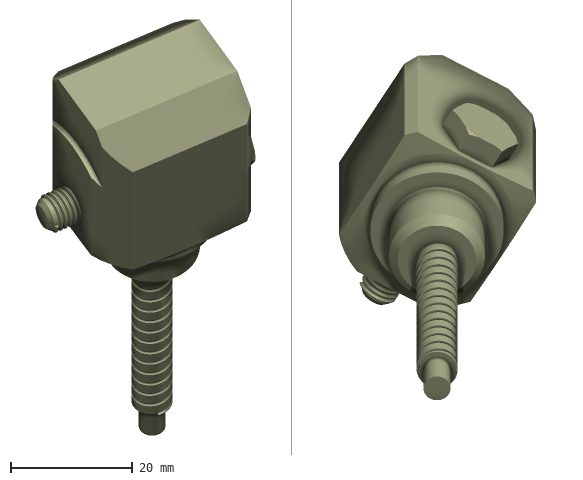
import cadquery as cq
import math


block_height = 31.5
block_width = 25.1
block_half_width = block_width / 2
back_y = block_half_width
back_chamfer = 1.6
front_y = -15.1
front_round_radius = 16.5
top_half_width = 6.35
underside_flat_radius = 12.5
underside_rise_per_radius = 0.13

recess_y = -14.1
recess_arc_radius = 14.85

flange_diameter = 22.0
flange_height = 3.6
neck_diameter = 15.8
neck_height = 10.1
neck_top_flare = 0.4
neck_bottom_chamfer = 1.4

hose_diameter = 6.8
hose_length = 37.9
groove_turns = 13
groove_turns_length = 34.4
hose_groove_pitch = groove_turns_length / groove_turns
hose_groove_width = 0.7
hose_groove_depth = 0.45
first_groove_z = -14.85
cable_diameter = 4.5

total_height = 89.5
total_depth = 37.1

bolt_z = 6.9
bolt_hole_diameter = 6.8
head_height = 3.8
head_across_flats = 11.0
head_chamfer_diameter = 11.45
head_chamfer_angle = 30
shank_diameter = 5.7
tip_diameter = 4.3
tip_length = 0.8
thread_pitch = 0.9
thread_height = 0.45
thread_base_width = 0.8
thread_crest_width = 0.2
thread_root_overlap = 0.1
thread_run_out = 0.4
thread_length = 7.2

neck_bottom_z = -flange_height - neck_height
hose_bottom_z = neck_bottom_z - hose_length
cable_bottom_z = block_height - total_height


def helical_strip(section_points, pitch, start_z, length):
    """Sweep a section, given as (radius, height) points, along a helix about Z."""
    radius = section_points[0][0]
    path = cq.Workplane(obj=cq.Wire.makeHelix(pitch, length, radius)).translate((0, 0, start_z))
    section = cq.Workplane("XZ").polyline([(r, z + start_z) for r, z in section_points]).close()
    return section.sweep(path, isFrenet=True)


def make_block():
    """Prism with chamfered back corners and rounded front corners, bevelled at the top."""
    side_front_y = -math.sqrt(front_round_radius**2 - block_half_width**2)
    flat_half_width = math.sqrt(front_round_radius**2 - front_y**2)
    mid_angle = (math.atan2(front_y, flat_half_width) + math.atan2(side_front_y, block_half_width)) / 2
    mid_x = front_round_radius * math.cos(mid_angle)
    mid_y = front_round_radius * math.sin(mid_angle)
    plan = (
        cq.Workplane("XY")
        .moveTo(flat_half_width, front_y)
        .threePointArc((mid_x, mid_y), (block_half_width, side_front_y))
        .lineTo(block_half_width, back_y - back_chamfer)
        .lineTo(block_half_width - back_chamfer, back_y)
        .lineTo(-block_half_width + back_chamfer, back_y)
        .lineTo(-block_half_width, back_y - back_chamfer)
        .lineTo(-block_half_width, side_front_y)
        .threePointArc((-mid_x, mid_y), (-flat_half_width, front_y))
        .close()
        .extrude(block_height)
    )
    bevel = block_half_width - top_half_width
    end_profile = (
        cq.Workplane("XZ", origin=(0, back_y, 0))
        .moveTo(-block_half_width, 0)
        .lineTo(block_half_width, 0)
        .lineTo(block_half_width, block_height - bevel)
        .lineTo(top_half_width, block_height)
        .lineTo(-top_half_width, block_height)
        .lineTo(-block_half_width, block_height - bevel)
        .close()
        .extrude(back_y - front_y)
    )
    return plan.intersect(end_profile)


def underside_cone():
    """Material to remove so that the underside rises gently outside a central flat circle."""
    outer_radius = 2 * block_half_width
    rise = (outer_radius - underside_flat_radius) * underside_rise_per_radius
    return (
        cq.Workplane("XZ")
        .moveTo(underside_flat_radius, 0)
        .lineTo(outer_radius, 0)
        .lineTo(outer_radius, rise)
        .close()
        .revolve(360, (0, 0, 0), (0, 1, 0))
    )


def front_recess():
    """Shallow cut in front of the recess flat, above the arc about the bolt axis."""
    depth = recess_y - front_y
    slab = cq.Workplane("XY").box(
        2 * block_half_width, depth, block_height - bolt_z, centered=(True, False, False)
    )
    slab = slab.translate((0, front_y, bolt_z))
    disc = cq.Workplane("XZ", origin=(0, recess_y, bolt_z)).circle(recess_arc_radius).extrude(depth)
    return slab.cut(disc)


def make_base():
    """Flange and chamfered neck as one turned profile."""
    flange_radius = flange_diameter / 2
    neck_radius = neck_diameter / 2
    return (
        cq.Workplane("XZ")
        .moveTo(0, 0)
        .lineTo(flange_radius, 0)
        .lineTo(flange_radius, -flange_height)
        .lineTo(neck_radius + neck_top_flare, -flange_height)
        .lineTo(neck_radius, -flange_height - neck_top_flare)
        .lineTo(neck_radius, neck_bottom_z + neck_bottom_chamfer)
        .lineTo(neck_radius - neck_bottom_chamfer, neck_bottom_z)
        .lineTo(0, neck_bottom_z)
        .close()
        .revolve(360, (0, 0, 0), (0, 1, 0))
    )


def make_hose():
    """Hose with one helical groove along its full length."""
    hose_radius = hose_diameter / 2
    embedded_length = 2 * hose_groove_width
    hose = (
        cq.Workplane("XY", origin=(0, 0, hose_bottom_z))
        .circle(hose_radius)
        .extrude(hose_length + embedded_length)
    )
    quarter_turns_to_front = 3
    turns_below = math.ceil((first_groove_z - hose_bottom_z) / hose_groove_pitch)
    groove_start_z = first_groove_z - (turns_below + quarter_turns_to_front / 4) * hose_groove_pitch
    overrun = hose_groove_depth
    half_width = hose_groove_width / 2
    section = [
        (hose_radius - hose_groove_depth, half_width),
        (hose_radius + overrun, half_width),
        (hose_radius + overrun, -half_width),
        (hose_radius - hose_groove_depth, -half_width),
    ]
    groove_length = neck_bottom_z + hose_groove_width - groove_start_z
    return hose.cut(helical_strip(section, hose_groove_pitch, groove_start_z, groove_length))


def make_housing():
    cable = (
        cq.Workplane("XY", origin=(0, 0, cable_bottom_z))
        .circle(cable_diameter / 2)
        .extrude(neck_bottom_z - cable_bottom_z)
    )
    bolt_hole = (
        cq.Workplane("XZ", origin=(0, back_y, bolt_z))
        .circle(bolt_hole_diameter / 2)
        .extrude(back_y - front_y)
    )
    block = make_block().cut(underside_cone()).cut(front_recess())
    return block.union(make_base()).cut(bolt_hole).union(make_hose()).union(cable)


def make_bolt_head():
    """Hexagon with flats at top and bottom, its outer corners cut back by a cone."""
    corner_diameter = head_across_flats / math.cos(math.pi / 6)
    hexagon = cq.Workplane("XY").polygon(6, corner_diameter).extrude(head_height)
    chamfer_radius = head_chamfer_diameter / 2
    cone_drop = (corner_diameter - chamfer_radius) * math.tan(math.radians(head_chamfer_angle))
    cone = (
        cq.Workplane("XZ")
        .moveTo(chamfer_radius, head_height)
        .lineTo(corner_diameter, head_height)
        .lineTo(corner_diameter, head_height - cone_drop)
        .close()
        .revolve(360, (0, 0, 0), (0, 1, 0))
    )
    return hexagon.cut(cone)


def make_bolt():
    """Bolt built head up along Z, with the underside of its head at Z = 0, then laid along Y."""
    shank_radius = shank_diameter / 2
    shank_length = total_depth - head_height
    shank = (
        cq.Workplane("XZ")
        .moveTo(0, 0)
        .lineTo(shank_radius, 0)
        .lineTo(shank_radius, tip_length - shank_length)
        .lineTo(tip_diameter / 2, -shank_length)
        .lineTo(0, -shank_length)
        .close()
        .revolve(360, (0, 0, 0), (0, 1, 0))
    )
    root_radius = shank_radius - thread_root_overlap
    thread_section = [
        (root_radius, -thread_base_width / 2),
        (shank_radius + thread_height, -thread_crest_width / 2),
        (shank_radius + thread_height, thread_crest_width / 2),
        (root_radius, thread_base_width / 2),
    ]
    thread_start_z = tip_length + thread_run_out - shank_length
    thread = helical_strip(thread_section, thread_pitch, thread_start_z, thread_length)
    bolt = make_bolt_head().union(shank).union(thread)
    return bolt.rotate((0, 0, 0), (1, 0, 0), -90).translate((0, back_y, bolt_z))


housing = make_housing()
bolt = make_bolt()
result = cq.Compound.makeCompound([housing.solids().val(), bolt.solids().val()])